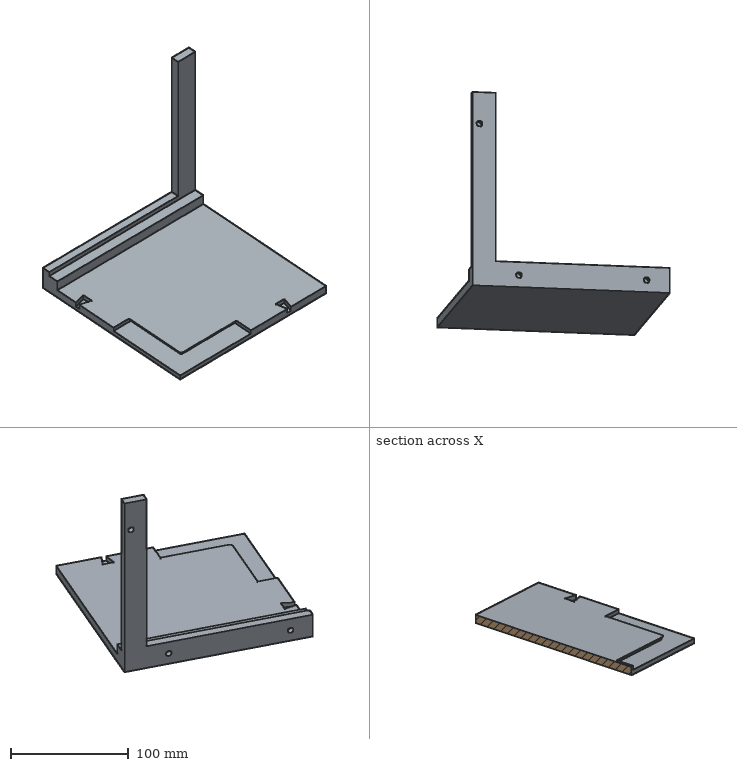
import cadquery as cq
import math

side = 170.0
plate_thickness = 8.0

wall_thickness = 8.0
rail_height = 21.8
step_width = 18.0
step_height = 17.5
post_width = 20.0
post_height = 168.0

recess_length = 82.5
recess_width = 18.0
recess_floor = 4.5
recess_corner_radius = 3.0
recess_undercut = 2.0

dovetail_offset = 43.0
dovetail_length = 11.5
dovetail_mouth = 4.0
dovetail_back = 10.0
dovetail_floor = 3.7

hole_diameter = 5.0
hole_depth = 6.0
rail_hole_height = 10.4
hole_centres = [
    (20.0, rail_hole_height),
    (130.0, rail_hole_height),
    (164.0, 140.6),
]


def block(length, width, height):
    """Box with its lower left front corner at the origin."""
    return cq.Workplane("XY").box(length, width, height, centered=False)


def make_frame():
    """Plate, step and rail, with the post standing at the rear left corner."""
    plate = block(side, side, plate_thickness)
    step = block(step_width, side, step_height)
    rail = block(wall_thickness, side, rail_height)
    post = block(wall_thickness, post_width, post_height).translate((0, side - post_width, 0))
    return plate.union(step).union(rail).union(post)


def make_kept_corner():
    """Rounded full-height plate corner whose two sides lean inwards below the top."""
    depth = plate_thickness - recess_floor
    kept_right = side - recess_width
    straight_right = kept_right - recess_corner_radius
    straight_front = recess_width + recess_corner_radius
    lean_angle = math.degrees(math.atan(recess_undercut / depth))
    return (
        cq.Workplane("XY", origin=(0, 0, plate_thickness))
        .moveTo(0, recess_width)
        .lineTo(straight_right, recess_width)
        .radiusArc((kept_right, straight_front), -recess_corner_radius)
        .lineTo(kept_right, side)
        .lineTo(0, side)
        .close()
        .extrude(-depth, taper=lean_angle)
    )


def make_recess():
    """Square at the front right corner, less the part that stays at full height."""
    depth = plate_thickness - recess_floor
    square = block(recess_length, recess_length, depth)
    return square.translate((side - recess_length, 0, recess_floor)).cut(make_kept_corner())


def make_front_dovetail():
    """Notch that widens from the front edge inwards."""
    return (
        cq.Workplane("XY", origin=(dovetail_offset, 0, dovetail_floor))
        .moveTo(-dovetail_mouth / 2, 0)
        .lineTo(dovetail_mouth / 2, 0)
        .lineTo(dovetail_back / 2, dovetail_length)
        .lineTo(-dovetail_back / 2, dovetail_length)
        .close()
        .extrude(plate_thickness - dovetail_floor)
    )


def make_right_dovetail():
    """The front notch mirrored across the diagonal through the recessed corner."""
    centre = side / 2
    turned = make_front_dovetail().rotate((centre, centre, 0), (centre, centre, 1), 90)
    return turned.translate((0, side - 2 * dovetail_offset, 0))


def make_screw_holes():
    """Blind holes along X, drilled from the left face."""
    return cq.Workplane("YZ").pushPoints(hole_centres).circle(hole_diameter / 2).extrude(hole_depth)


result = (
    make_frame()
    .cut(make_recess())
    .cut(make_front_dovetail())
    .cut(make_right_dovetail())
    .cut(make_screw_holes())
)